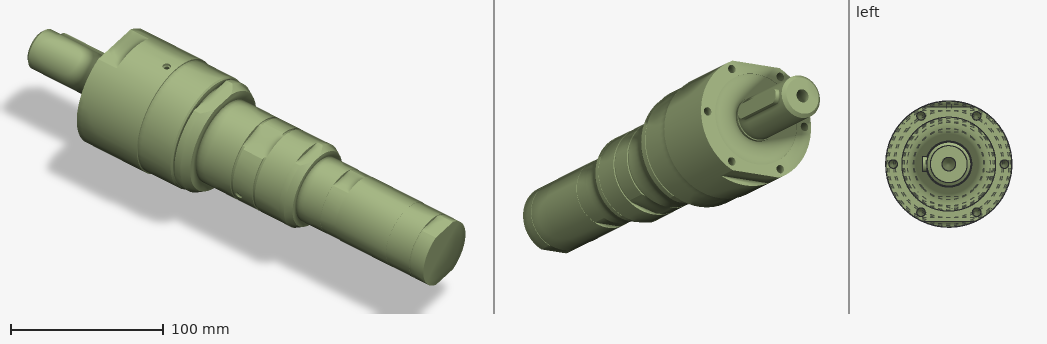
import cadquery as cq
import math

overall_length = 331.5

shaft_diameter = 29.0
shaft_tip_chamfer = 2.3
collar_diameter = 30.2
collar_start = 60.0
centre_hole_diameter = 9.0
centre_hole_depth = 16.5

key_start = 5.3
key_end = 55.5
key_width = 10.0
key_top = 17.2

head_start = 62.0
head_end = 111.0
head_diameter = 83.0
head_flat_length = 15.0
head_flat_offset = 37.5
bolt_circle_diameter = 73.0
bolt_hole_count = 6
bolt_hole_diameter = 5.5
bolt_hole_depth = 10.0
drill_tip_angle = 118.0
face_recess_diameter = 61.5
face_recess_depth = 0.3
head_port_x = 104.8

port_diameter = 5.5
port_depth = 1.5
port_bore_diameter = 3.3
port_bore_depth = 6.5

sleeve_diameter = 81.0
sleeve_end = 139.0
sleeve_chamfer = 1.0
neck_length = 1.3

front_nut_diameter = 79.0
front_nut_end = 150.8
front_nut_nose_length = 5.5
front_nut_flat_offset = 35.0

barrel_diameter = 60.0
barrel_end = 218.8
groove_starts = (179.0, 197.0)
groove_width = 2.0
groove_diameter = 58.5
barrel_flat_offset = 27.5
barrel_tilt = 15.0
barrel_port_x = 185.0

rear_nut_diameter = 60.3
rear_nut_end = 227.7
rear_nut_nose_length = 5.0
rear_nut_flat_offset = 27.5

nut_nose_angle = 30.0

tail_diameter = 46.7
tail_flat_offset = 21.2
tail_waist_start = 247.5
tail_waist_end = 260.0
tail_waist_diameter = 46.5
inlet_start = 301.0
inlet_diameter = 46.5
inlet_groove_start = 320.0
inlet_groove_width = 1.0
inlet_groove_diameter = 45.7


def cylinder(start, end, diameter):
    """Solid cylinder along X between two stations."""
    return cq.Workplane("YZ", origin=(start, 0, 0)).circle(diameter / 2).extrude(end - start)


def ring(start, width, outer_diameter, inner_diameter):
    """Ring-shaped cutter that sinks a groove to the inner diameter."""
    return cylinder(start, start + width, outer_diameter).cut(cylinder(start, start + width, inner_diameter))


def flat_pair(start, end, offset, diameter):
    """Two cutters that leave parallel flats at +Z and -Z."""
    size = diameter + 6.5
    top = cq.Workplane("XY").box(end - start, size, size, centered=(False, True, False))
    top = top.translate((start, 0, offset))
    return top.union(top.mirror("XY"))


def wrench_nut(start, end, diameter, nose_length, flat_offset):
    """Round nut with a conical nose on its rear edge and two wrench flats."""
    radius = diameter / 2
    tip_radius = radius - nose_length * math.tan(math.radians(nut_nose_angle))
    nut = (
        cq.Workplane("XY")
        .polyline([(start, 0), (start, radius), (end - nose_length, radius), (end, tip_radius), (end, 0)])
        .close()
        .revolve(360, (0, 0, 0), (1, 0, 0))
    )
    return nut.cut(flat_pair(start, end, flat_offset, diameter))


def drilled_hole(start, depth, diameter, y=0.0, z=0.0):
    """Cutter for a blind hole along +X with a conical drill tip."""
    radius = diameter / 2
    tip = radius / math.tan(math.radians(drill_tip_angle / 2))
    return (
        cq.Workplane("XY")
        .polyline([(0, 0), (0, radius), (depth, radius), (depth + tip, 0)])
        .close()
        .revolve(360, (0, 0, 0), (1, 0, 0))
        .translate((start, y, z))
    )


def stepped_port(x, surface_z):
    """Cutter for a stepped hole sunk from above, centred over the axis."""
    seat = cq.Workplane("XY", origin=(x, 0, surface_z - port_depth)).circle(port_diameter / 2)
    bore = cq.Workplane("XY", origin=(x, 0, surface_z - port_bore_depth)).circle(port_bore_diameter / 2)
    return seat.extrude(2 * port_depth).union(bore.extrude(port_bore_depth))


def make_shaft():
    """Output shaft with collar, tip chamfer, key and centre hole."""
    shaft = cylinder(0, head_end, shaft_diameter).faces("<X").chamfer(shaft_tip_chamfer)
    key_length = key_end - key_start
    key = (
        cq.Workplane("XZ")
        .center((key_start + key_end) / 2, 0)
        .slot2D(key_length, key_width)
        .extrude(-key_top)
    )
    collar = cylinder(collar_start, head_end, collar_diameter)
    return shaft.union(key).union(collar).cut(drilled_hole(0, centre_hole_depth, centre_hole_diameter))


def make_head():
    """Large front housing with wrench flats, bolt holes and an upper port."""
    head = cylinder(head_start, head_end, head_diameter)
    head = head.cut(flat_pair(head_start, head_start + head_flat_length, head_flat_offset, head_diameter))
    for index in range(bolt_hole_count):
        angle = 2 * math.pi * index / bolt_hole_count
        y = bolt_circle_diameter / 2 * math.cos(angle)
        z = bolt_circle_diameter / 2 * math.sin(angle)
        head = head.cut(drilled_hole(head_start, bolt_hole_depth, bolt_hole_diameter, y, z))
    port = stepped_port(head_port_x, head_diameter / 2)
    return head.cut(port).cut(cylinder(head_start, head_start + face_recess_depth, face_recess_diameter))


def make_sleeve():
    """Sleeve behind the head, joined to the front nut by a short neck."""
    sleeve = cylinder(head_end, sleeve_end, sleeve_diameter).faces(">X").chamfer(sleeve_chamfer)
    return sleeve.union(cylinder(sleeve_end, sleeve_end + neck_length, front_nut_flat_offset * 2))


def make_barrel():
    """Middle barrel with two grooves, tilted flats between them and a side port."""
    barrel = cylinder(front_nut_end, barrel_end, barrel_diameter)
    for start in groove_starts:
        barrel = barrel.cut(ring(start, groove_width, barrel_diameter + 3.3, groove_diameter))
    flats = flat_pair(groove_starts[0], groove_starts[1] + groove_width, barrel_flat_offset, barrel_diameter)
    port = stepped_port(barrel_port_x, barrel_diameter / 2).rotate((0, 0, 0), (1, 0, 0), 90)
    return barrel.cut(flats.union(port).rotate((0, 0, 0), (1, 0, 0), barrel_tilt))


def make_tail():
    """Tail tube with a flatted waist and a grooved, flatted inlet end."""
    tail = cylinder(rear_nut_end, inlet_start, tail_diameter)
    tail = tail.union(cylinder(inlet_start, overall_length, inlet_diameter))
    waist_width = tail_waist_end - tail_waist_start
    tail = tail.cut(ring(tail_waist_start, waist_width, tail_diameter + 3.3, tail_waist_diameter))
    tail = tail.cut(ring(inlet_groove_start, inlet_groove_width, tail_diameter + 3.3, inlet_groove_diameter))
    waist_flats = flat_pair(tail_waist_start, tail_waist_end, tail_flat_offset, tail_diameter)
    inlet_flats = flat_pair(inlet_groove_start, overall_length, tail_flat_offset, tail_diameter)
    return tail.cut(waist_flats).cut(inlet_flats)


front_nut = wrench_nut(
    sleeve_end + neck_length,
    front_nut_end,
    front_nut_diameter,
    front_nut_nose_length,
    front_nut_flat_offset,
)
rear_nut = wrench_nut(
    barrel_end,
    rear_nut_end,
    rear_nut_diameter,
    rear_nut_nose_length,
    rear_nut_flat_offset,
)

result = make_shaft()
for section in (make_head(), make_sleeve(), front_nut, make_barrel(), rear_nut, make_tail()):
    result = result.union(section)